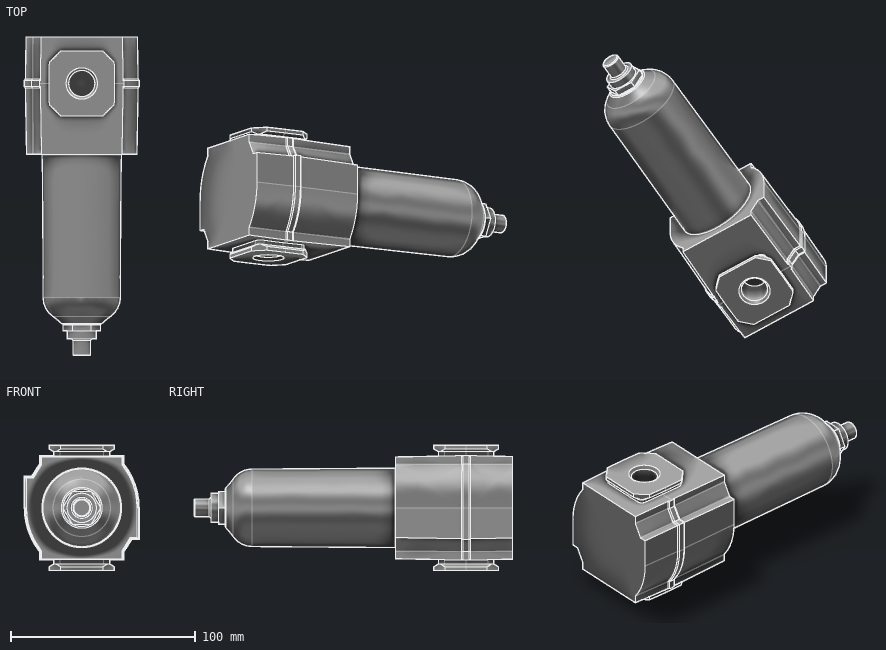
import cadquery as cq
import math


total_length = 172.8
total_width = 62.4
total_height = 68.0
housing_back_y = 25.2
housing_front_y = -38.4
tip_y = housing_back_y - total_length

draft = 1.0
half_height = 28.3
rib_height = 0.5
shoulder_half_width = 22.5
shoulder_z = 23.7
side_half_width = total_width / 2 - rib_height
step_z = 16.8
step_inner_x = 26.6

rib_crest_half_length = 1.5
rib_base_half_length = 2.5

port_top_z = total_height / 2
flange_half_width = 17.8
flange_half_length = 17.6
flange_corner_cut = 6.4
flange_rim_height = 2.0
flange_bevel_height = 1.5
port_neck_half_length = 15.0
port_neck_corner_radius = 3.3
port_radius = 7.0
port_mouth_radius = 8.5
port_chamfer_depth = 1.7
port_depth = 17.3

bowl_top_radius = 21.6
bowl_land_length = 0.5
bowl_end_radius = 21.0
dome_start_y = -116.0
dome_radius = 12.6
dome_end_radius = 15.5
bowl_neck_radius = 10.2
flare_end_radius = 11.0
flare_end_y = -130.1
bowl_neck_start_y = -130.5
bowl_end_y = -130.8

hex_across_corners = 20.5
hex_end_y = -134.1
collar_radius = 8.0
collar_end_y = -138.4
stem_radius = 4.8
stem_root_chamfer = 0.9
stem_tip_chamfer = 0.5


def housing_section(offset):
    """Housing section in XZ at Y = 0: its two sides are half-turn copies of each other."""
    side_x = side_half_width + offset
    shoulder_x = shoulder_half_width + offset
    inner_x = step_inner_x + offset
    top_z = half_height
    ledge_z = step_z + offset

    arc_radius = ((side_x - shoulder_x) ** 2 + shoulder_z ** 2) / (2 * (side_x - shoulder_x))
    half_angle = math.asin(shoulder_z / arc_radius) / 2
    arc_mid_x = side_x - arc_radius * (1 - math.cos(half_angle))
    arc_mid_z = arc_radius * math.sin(half_angle)

    section = cq.Workplane("XZ").moveTo(shoulder_x, top_z)
    for turn in (1, -1):
        section = (
            section.lineTo(turn * shoulder_x, turn * shoulder_z)
            .threePointArc((turn * arc_mid_x, turn * arc_mid_z), (turn * side_x, 0))
            .lineTo(turn * side_x, -turn * ledge_z)
            .lineTo(turn * inner_x, -turn * ledge_z)
            .lineTo(turn * shoulder_x, -turn * shoulder_z)
            .lineTo(turn * shoulder_x, -turn * top_z)
            .lineTo(-turn * shoulder_x, -turn * top_z)
        )
    return section.close()


def housing_block():
    front = housing_section(0).extrude(-housing_front_y, taper=draft)
    back = housing_section(0).extrude(-housing_back_y, taper=draft)
    return front.union(back)


def height_limit():
    """Wide slab with the drafted top and bottom of the housing, on both sides of Y = 0."""
    slab_width = 4 * side_half_width
    slab = cq.Workplane("XZ").rect(slab_width, 2 * half_height)
    front = slab.extrude(rib_base_half_length, taper=draft)
    return front.union(front.mirror("XZ"))


def side_rib():
    """Band with a flat crest and sloping flanks."""
    flank_length = rib_base_half_length - rib_crest_half_length
    flank_angle = math.degrees(math.atan2(rib_height, flank_length))
    rib = housing_section(rib_height).extrude(rib_crest_half_length, both=True)
    for direction in (1, -1):
        flank = (
            housing_section(rib_height)
            .extrude(direction * flank_length, taper=flank_angle)
            .translate((0, -direction * rib_crest_half_length, 0))
        )
        rib = rib.union(flank)
    return rib.intersect(height_limit())


def peaked_square(plane_z, half_width, half_length):
    """Near-square outline in XY whose X sides are peaked at Y = 0 by the draft."""
    end_half_width = half_width - half_length * math.tan(math.radians(draft))
    return cq.Workplane("XY").workplane(offset=plane_z).polyline([
        (half_width, 0),
        (end_half_width, half_length),
        (-end_half_width, half_length),
        (-half_width, 0),
        (-end_half_width, -half_length),
        (end_half_width, -half_length),
    ]).close()


def port():
    """Upper port: neck with rounded corners under a flange with cut corners and a bevelled underside."""
    bevel_inset = flange_half_length - port_neck_half_length
    bevel_angle = math.degrees(math.atan2(bevel_inset, flange_bevel_height))
    rim_z = port_top_z - flange_rim_height
    flange = (
        peaked_square(rim_z, flange_half_width, flange_half_length)
        .extrude(flange_rim_height)
        .union(
            peaked_square(rim_z, flange_half_width, flange_half_length)
            .extrude(-flange_bevel_height, taper=bevel_angle)
        )
    )
    cut_corner_block = (
        cq.Workplane("XY")
        .rect(2 * flange_half_width, 2 * flange_half_length)
        .extrude(port_top_z)
        .edges("|Z")
        .chamfer(flange_corner_cut)
    )
    neck = (
        peaked_square(0, flange_half_width - bevel_inset, port_neck_half_length)
        .extrude(rim_z)
        .edges("|Z and (>Y or <Y)")
        .fillet(port_neck_corner_radius)
    )
    return neck.union(flange.intersect(cut_corner_block))


def port_hole():
    """Blind hole with a chamfered mouth, as a cutter for the upper port."""
    floor_z = port_top_z - port_depth
    return cq.Workplane("XZ").polyline([
        (0, port_top_z),
        (port_mouth_radius, port_top_z),
        (port_radius, port_top_z - port_chamfer_depth),
        (port_radius, floor_z),
        (0, floor_z),
    ]).close().revolve(360, (0, 0, 0), (0, 1, 0))


def make_housing():
    housing = housing_block().union(side_rib())
    upper_port = port()
    upper_hole = port_hole()
    for port_body in (upper_port, upper_port.mirror("XY")):
        housing = housing.union(port_body)
    for hole in (upper_hole, upper_hole.mirror("XY")):
        housing = housing.cut(hole)
    return housing


def turned_about_y(profile):
    """Solid of revolution about Y from a closed profile drawn in the YZ plane."""
    return profile.close().revolve(360, (0, 0, 0), (1, 0, 0))


def make_bowl():
    """Tapered cup whose dome flares in a hollow curve to a short neck."""
    dome_centre_r = bowl_end_radius - dome_radius
    dome_angle = math.acos((dome_end_radius - dome_centre_r) / dome_radius)
    mid_r = dome_centre_r + dome_radius * math.cos(dome_angle / 2)
    mid_y = dome_start_y - dome_radius * math.sin(dome_angle / 2)
    dome_end_y = dome_start_y - dome_radius * math.sin(dome_angle)
    return turned_about_y(
        cq.Workplane("YZ")
        .moveTo(housing_front_y, 0)
        .lineTo(housing_front_y, bowl_top_radius)
        .lineTo(housing_front_y - bowl_land_length, bowl_top_radius)
        .lineTo(dome_start_y, bowl_end_radius)
        .threePointArc((mid_y, mid_r), (dome_end_y, dome_end_radius))
        .tangentArcPoint((flare_end_y, flare_end_radius), relative=False)
        .lineTo(bowl_neck_start_y, bowl_neck_radius)
        .lineTo(bowl_end_y, bowl_neck_radius)
        .lineTo(bowl_end_y, 0)
    )


def make_drain_valve():
    """Hexagon, collar and stem; the stem has a chamfered root and tip."""
    hexagon = (
        cq.Workplane("XZ", origin=(0, bowl_end_y, 0))
        .polygon(6, hex_across_corners)
        .extrude(bowl_end_y - hex_end_y)
    )
    turned = turned_about_y(cq.Workplane("YZ").polyline([
        (hex_end_y, 0),
        (hex_end_y, collar_radius),
        (collar_end_y, collar_radius),
        (collar_end_y, stem_radius + stem_root_chamfer),
        (collar_end_y - stem_root_chamfer, stem_radius),
        (tip_y + stem_tip_chamfer, stem_radius),
        (tip_y, stem_radius - stem_tip_chamfer),
        (tip_y, 0),
    ]))
    return hexagon.union(turned)


housing = make_housing()
bowl = make_bowl()
drain_valve = make_drain_valve()

result = cq.Compound.makeCompound([housing.val(), bowl.val(), drain_valve.val()])